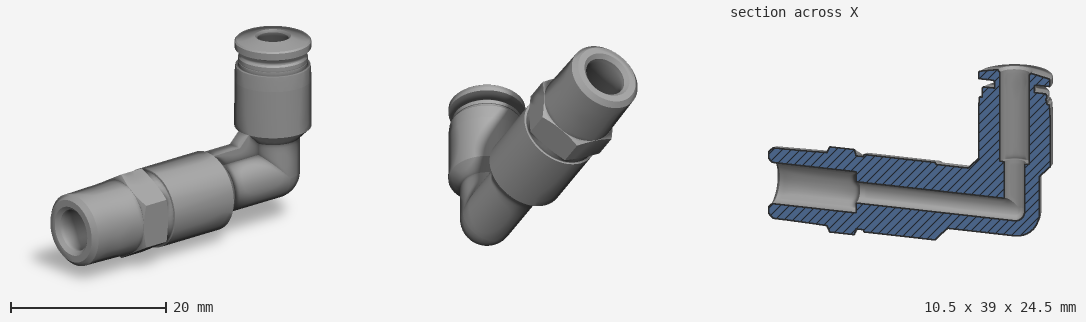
import cadquery as cq
import math


elbow_radius = 3.49
passage_radius = 2.8 / 2

socket_radius = 10.0 / 2
socket_bottom = 6.4
socket_taper_start = 12.75
socket_top = 14.75
socket_top_radius = 9.7 / 2
socket_neck_top = socket_bottom - (socket_radius - elbow_radius)

collar_radius = 9.0 / 2
collar_top = 16.15
collar_chamfer = 0.25
groove_height = 15.33
groove_width = 0.15
groove_depth = 0.1

button_neck_radius = 5.58 / 2
button_radius = 9.9 / 2
button_bottom = 17.12
button_rim = 18.2
button_top = 18.7
button_neck_fillet = 0.25
button_rim_chamfer = 0.2
button_bore_radius = 4.0 / 2
button_bore_chamfer = 0.33

arm_radius = 10.5 / 2
arm_start = 11.0
arm_end = 20.85
arm_neck_end = arm_start - (arm_radius - elbow_radius)

hex_flats = 10.0
hex_corner_radius = hex_flats / math.sqrt(3)
hex_start = 21.88
hex_end = 25.95
hex_inner_bevel = 0.25
hex_outer_bevel = 0.4

thread_start_radius = 9.9 / 2
thread_end_radius = 9.55 / 2
thread_end = 39 - socket_radius
thread_chamfer = 0.62
thread_bore_radius = 5.5 / 2
thread_bore_chamfer = 0.5

web_width = 2.03
web_top = 5.0
web_slope_end = socket_radius + socket_bottom - web_top


def revolve_about_z(profile):
    """Revolve a closed (radius, height) profile about the Z axis."""
    return profile.close().revolve(360, (0, 0, 0), (0, 1, 0))


def turn_to_arm(body):
    """Turn a body built along +Z so that it runs along -Y."""
    return body.rotate((0, 0, 0), (1, 0, 0), 90)


def make_socket():
    taper_drop = socket_radius - socket_top_radius
    taper_mid = (socket_radius - taper_drop / 4, (socket_taper_start + socket_top) / 2)
    profile = (
        cq.Workplane("XZ")
        .lineTo(elbow_radius, 0)
        .lineTo(elbow_radius, socket_neck_top)
        .lineTo(socket_radius, socket_bottom)
        .lineTo(socket_radius, socket_taper_start)
        .threePointArc(taper_mid, (socket_top_radius, socket_top))
        .lineTo(collar_radius, socket_top)
        .lineTo(collar_radius, groove_height - groove_width / 2)
        .lineTo(collar_radius - groove_depth, groove_height - groove_width / 2)
        .lineTo(collar_radius - groove_depth, groove_height + groove_width / 2)
        .lineTo(collar_radius, groove_height + groove_width / 2)
        .lineTo(collar_radius, collar_top - collar_chamfer)
        .lineTo(collar_radius - collar_chamfer, collar_top)
        .lineTo(button_neck_radius, collar_top)
        .lineTo(button_neck_radius, button_bottom - button_neck_fillet)
        .radiusArc((button_neck_radius + button_neck_fillet, button_bottom), button_neck_fillet)
        .lineTo(button_radius, button_bottom)
        .lineTo(button_radius, button_rim - button_rim_chamfer)
        .lineTo(button_radius - button_rim_chamfer, button_rim)
        .lineTo(button_bore_radius + button_bore_chamfer, button_top)
        .lineTo(0, button_top)
    )
    return revolve_about_z(profile)


def make_arm():
    profile = (
        cq.Workplane("XZ")
        .lineTo(elbow_radius, 0)
        .lineTo(elbow_radius, arm_neck_end)
        .lineTo(arm_radius, arm_start)
        .lineTo(arm_radius, arm_end)
        .lineTo(thread_start_radius, arm_end)
        .lineTo(thread_start_radius, hex_end)
        .lineTo(thread_end_radius, thread_end - thread_chamfer)
        .lineTo(thread_end_radius - thread_chamfer, thread_end)
        .lineTo(0, thread_end)
    )
    return turn_to_arm(revolve_about_z(profile))


def make_hexagon():
    """Hexagon with corners up and down, its corners bevelled at both ends."""
    prism = (
        cq.Workplane("XY", origin=(0, 0, hex_start))
        .polygon(6, 2 * hex_corner_radius)
        .extrude(hex_end - hex_start)
        .rotate((0, 0, 0), (0, 0, 1), 90)
    )
    bevel_profile = (
        cq.Workplane("XZ")
        .moveTo(0, hex_start)
        .lineTo(hex_flats / 2, hex_start)
        .lineTo(hex_corner_radius, hex_start + hex_inner_bevel)
        .lineTo(hex_corner_radius, hex_end - hex_outer_bevel)
        .lineTo(hex_flats / 2, hex_end)
        .lineTo(0, hex_end)
    )
    return turn_to_arm(prism.intersect(revolve_about_z(bevel_profile)))


def make_web():
    return (
        cq.Workplane("YZ")
        .lineTo(0, socket_bottom)
        .lineTo(-socket_radius, socket_bottom)
        .lineTo(-web_slope_end, web_top)
        .lineTo(-arm_start, web_top)
        .lineTo(-arm_start, 0)
        .close()
        .extrude(web_width / 2, both=True)
    )


def make_bore(radius, mouth, floor, chamfer):
    """Chamfered counterbore with its mouth at the far end, leading into the passage."""
    profile = (
        cq.Workplane("XZ")
        .lineTo(passage_radius, 0)
        .lineTo(passage_radius, floor)
        .lineTo(radius, floor)
        .lineTo(radius, mouth - chamfer)
        .lineTo(radius + chamfer, mouth)
        .lineTo(0, mouth)
    )
    return revolve_about_z(profile)


tube_bore = make_bore(button_bore_radius, button_top, socket_bottom, button_bore_chamfer)
thread_bore = turn_to_arm(make_bore(thread_bore_radius, thread_end, hex_start, thread_bore_chamfer))

outside = (
    cq.Workplane("XY")
    .sphere(elbow_radius)
    .union(make_socket())
    .union(make_arm())
    .union(make_hexagon())
    .union(make_web())
)
result = outside.cut(tube_bore).cut(thread_bore).cut(cq.Workplane("XY").sphere(passage_radius))